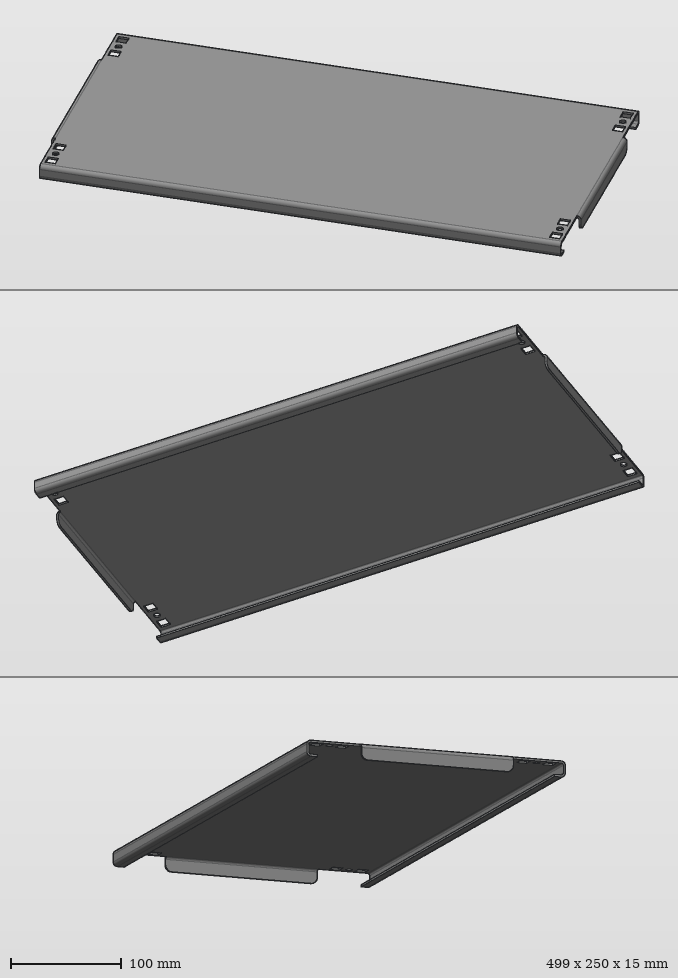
import cadquery as cq

length = 499.0
width = 250.0
height = 15.0

sheet = 2.0
bend_radius = 4.0
inner_radius = bend_radius - sheet

lip_reach = 10.5
tab_width = 146.5
tab_corner_radius = 6.0

hole_inset = 8.0
hole_pitch = 12.5
square_size = 9.5
round_diameter = 6.0

panel_length = length - 2 * bend_radius


def make_channel():
    """Top sheet with side flanges and inward return lips."""
    outer = (
        cq.Workplane("XY")
        .box(panel_length, width, height)
        .edges("|X")
        .fillet(bend_radius)
    )
    cavity = (
        cq.Workplane("XY")
        .box(panel_length, width - 2 * sheet, height - 2 * sheet)
        .edges("|X")
        .fillet(inner_radius)
    )
    bottom_opening = (
        cq.Workplane("XY")
        .box(panel_length, width - 2 * lip_reach, height / 2)
        .translate((0, 0, -height / 2))
    )
    return outer.cut(cavity).cut(bottom_opening)


def make_end_tab():
    """Flange bent down from the +X end of the top sheet."""
    tab = (
        cq.Workplane("XZ")
        .moveTo(panel_length / 2, height / 2)
        .radiusArc((length / 2, height / 2 - bend_radius), bend_radius)
        .lineTo(length / 2, -height / 2)
        .lineTo(length / 2 - sheet, -height / 2)
        .lineTo(length / 2 - sheet, height / 2 - bend_radius)
        .radiusArc((panel_length / 2, height / 2 - sheet), -inner_radius)
        .close()
        .extrude(tab_width / 2, both=True)
    )
    lower_corners = tab.faces("<Z").edges("|X")
    return lower_corners.fillet(tab_corner_radius)


def make_hole_cutters():
    """Square, round and square hole in a row at each corner."""
    hole_x = panel_length / 2 - hole_inset
    first_y = width / 2 - hole_pitch
    round_y = first_y - hole_pitch
    last_y = round_y - hole_pitch
    top = cq.Workplane("XY", origin=(0, 0, height / 2))
    square_points = [
        (x, y)
        for x in (-hole_x, hole_x)
        for y in (-first_y, -last_y, last_y, first_y)
    ]
    round_points = [(x, y) for x in (-hole_x, hole_x) for y in (-round_y, round_y)]
    squares = top.pushPoints(square_points).rect(square_size, square_size).extrude(-sheet)
    rounds = top.pushPoints(round_points).circle(round_diameter / 2).extrude(-sheet)
    return squares.union(rounds)


end_tab = make_end_tab()
result = (
    make_channel()
    .union(end_tab)
    .union(end_tab.mirror("YZ"))
    .cut(make_hole_cutters())
)